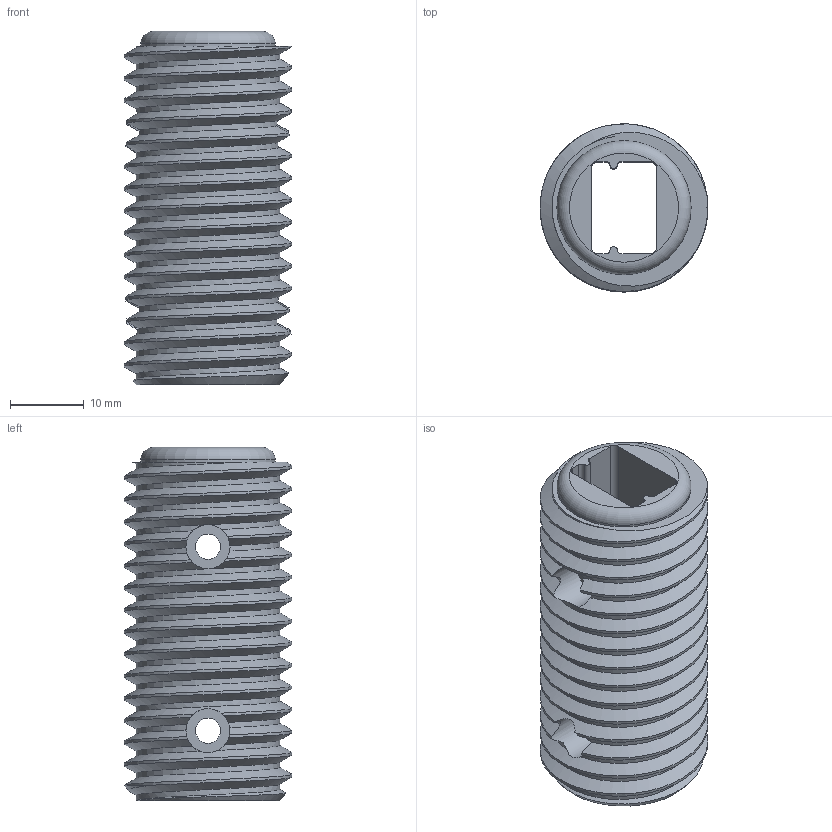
import cadquery as cq
import math

total_height = 48.0
collar_height = 2.0
collar_diameter = 18.24
collar_rounding = 1.7
thread_height = total_height - collar_height

major_diameter = 22.8
pitch = 3.0
crest_flat = pitch / 8
root_flat = pitch / 4
flank_angle = math.radians(30)
flank_height = (pitch - crest_flat - root_flat) / 2
thread_depth = flank_height / math.tan(flank_angle)
major_radius = major_diameter / 2
root_radius = major_radius - thread_depth
lead_chamfer_height = 2.1
overrun_turns = 1
pilot_radius = 1.0
envelope_clearance = 1.0

socket_width = 8.8
socket_length = 12.5
socket_corner_radius = 0.8
ridge_x = -1.41
ridge_height = 0.95
ridge_tip_radius = 0.5
ridge_base_radius = 0.5

cross_hole_heights = (9.5, 34.5)
cross_hole_diameter = 3.4
counterbore_diameter = 6.0
counterbore_floor_x = 6.0


def helix_edge(point):
    """One right-hand turn through a (radius, height) point of the thread profile."""
    radius, height = point
    helix = cq.Wire.makeHelix(pitch, pitch, radius)
    return helix.translate(cq.Vector(0, 0, height)).Edges()[0]


def helical_strip(start, end):
    """One turn of the surface swept by the profile line from start to end."""
    return cq.Face.makeRuledSurface(helix_edge(start), helix_edge(end))


def threaded_rod():
    """Threaded rod built from helical faces turn by turn, closed by a helical step at either end.

    It runs past both ends of the threaded length. A pilot bore keeps the end faces off the axis.
    """
    crest_start = flank_height
    crest_end = crest_start + crest_flat
    root_start = crest_end + flank_height
    pilot = [(pilot_radius, 0), (pilot_radius, pitch)]
    thread = [
        (root_radius, 0),
        (major_radius, crest_start),
        (major_radius, crest_end),
        (root_radius, root_start),
        (root_radius, pitch),
    ]

    turn_faces = [helical_strip(*pilot)]
    for start, end in zip(thread, thread[1:]):
        turn_faces.append(helical_strip(start, end))
    outline = [pilot[0], *thread, pilot[1]]
    step_face = cq.Face.makeFromWires(cq.Workplane("XZ").polyline(outline).close().wires().val())
    end_faces = [helical_strip(pilot[0], thread[0]), step_face]

    turns = math.ceil(thread_height / pitch) + 2 * overrun_turns
    bottom = -overrun_turns * pitch
    faces = []
    for turn in range(turns):
        faces += [face.translate(cq.Vector(0, 0, bottom + turn * pitch)) for face in turn_faces]
    for end_height in (bottom, bottom + turns * pitch):
        faces += [face.translate(cq.Vector(0, 0, end_height)) for face in end_faces]
    return cq.Workplane(cq.Solid.makeSolid(cq.Shell.makeShell(faces)))


def thread_envelope():
    """Threaded length with a lead-in cone at the bottom, slightly wider than the crests."""
    cone_slope = thread_depth / lead_chamfer_height
    outer_radius = major_radius + envelope_clearance
    cone_top = (outer_radius - root_radius) / cone_slope
    return (
        cq.Workplane("XZ")
        .lineTo(root_radius, 0)
        .lineTo(outer_radius, cone_top)
        .lineTo(outer_radius, thread_height)
        .lineTo(0, thread_height)
        .close()
        .revolve(360, (0, 0, 0), (0, 1, 0))
    )


def collar():
    return (
        cq.Workplane("XY")
        .workplane(offset=thread_height)
        .circle(collar_diameter / 2)
        .extrude(collar_height)
        .faces(">Z")
        .edges()
        .fillet(collar_rounding)
    )


def key_ridge():
    """Rounded ridge on the -Y wall, blended into the wall by an arc on either side."""
    wall_y = -socket_length / 2
    tip_centre = ridge_height - ridge_tip_radius
    centre_rise = tip_centre - ridge_base_radius
    centre_distance = ridge_tip_radius + ridge_base_radius
    half_base = math.sqrt(centre_distance**2 - centre_rise**2)
    tangent_angle = math.atan2(-centre_rise, half_base)
    tangent_x = ridge_tip_radius * math.cos(tangent_angle)
    tangent_y = tip_centre + ridge_tip_radius * math.sin(tangent_angle)
    blend_angle = (math.pi + tangent_angle + 1.5 * math.pi) / 2
    blend_x = half_base + ridge_base_radius * math.cos(blend_angle)
    blend_y = ridge_base_radius * (1 + math.sin(blend_angle))
    return (
        cq.Workplane("XY", origin=(ridge_x, wall_y, 0))
        .moveTo(half_base, 0)
        .threePointArc((blend_x, blend_y), (tangent_x, tangent_y))
        .threePointArc((0, ridge_height), (-tangent_x, tangent_y))
        .threePointArc((-blend_x, blend_y), (-half_base, 0))
        .close()
        .extrude(total_height)
    )


def socket():
    opening = (
        cq.Workplane("XY")
        .rect(socket_width, socket_length)
        .extrude(total_height)
        .edges("|Z")
        .fillet(socket_corner_radius)
    )
    ridge = key_ridge()
    return opening.cut(ridge).cut(ridge.mirror("XZ"))


def cross_cylinder(height, diameter, start_x, end_x):
    """Pair of cylinders along X, from start_x to end_x on either side of the axis."""
    side = (
        cq.Workplane("YZ", origin=(start_x, 0, height))
        .circle(diameter / 2)
        .extrude(end_x - start_x)
    )
    return side.union(side.mirror("YZ"))


def cross_hole(height):
    """Through hole along X, counterbored from both sides."""
    hole = cross_cylinder(height, cross_hole_diameter, 0, major_radius)
    counterbores = cross_cylinder(height, counterbore_diameter, counterbore_floor_x, major_radius)
    return hole.union(counterbores)


result = threaded_rod().intersect(thread_envelope())
result = result.union(collar())
result = result.cut(socket())
for hole_height in cross_hole_heights:
    result = result.cut(cross_hole(hole_height))